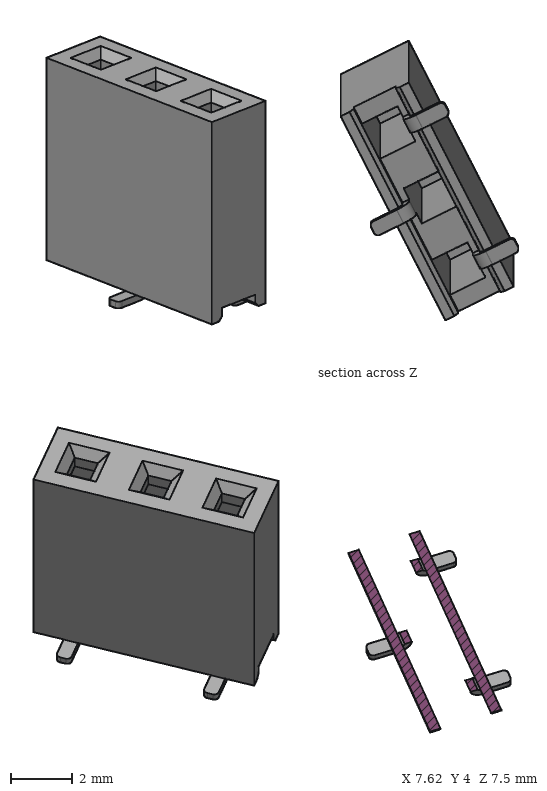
import cadquery as cq

length = 7.62
depth = 2.5
total_height = 7.5
standoff = 0.3
housing_height = total_height - standoff

channel_width = 1.54
channel_depth = 0.45
channel_edge_chamfer = 0.15

contact_count = 3
pitch = length / contact_count
mouth_size = 1.4
hole_size = 0.8
funnel_depth = 0.305

cavity_width = 1.31
cavity_cover = 0.72
cavity_top = total_height - cavity_cover

lead_width = 0.5
lead_thickness = 0.245
lead_span = 4.0
inner_bend_radius = 0.22
outer_bend_radius = inner_bend_radius + lead_thickness
tip_radius = 0.15

contact_positions = [(i - (contact_count - 1) / 2) * pitch for i in range(contact_count)]
channel_top = standoff + channel_depth


def make_housing():
    block = cq.Workplane("XY").workplane(offset=standoff).box(
        length, depth, housing_height, centered=(True, True, False)
    )
    channel = cq.Workplane("XY").workplane(offset=standoff).box(
        length, channel_width, channel_depth, centered=(True, True, False)
    )
    margin = 0.01
    mouth_edges = cq.selectors.BoxSelector(
        (-length, -channel_width / 2 - margin, standoff - margin),
        (length, channel_width / 2 + margin, standoff + margin),
    )
    return block.cut(channel).edges("|X").edges(mouth_edges).chamfer(channel_edge_chamfer)


def make_opening(x):
    """Square through hole with a tapered lead-in at the top."""
    hole = cq.Workplane("XY").center(x, 0).rect(hole_size, hole_size).extrude(total_height)
    funnel = (
        cq.Workplane("XY", origin=(x, 0, total_height))
        .rect(mouth_size, mouth_size)
        .workplane(offset=-funnel_depth)
        .rect(hole_size, hole_size)
        .loft(ruled=True)
    )
    return hole.union(funnel)


def make_cavity(x, side):
    """Contact cavity: level with the lead's inner face on its side, the channel wall on the other."""
    cavity_depth = channel_width - lead_thickness
    return cq.Workplane("XY").box(
        cavity_width, cavity_depth, cavity_top - standoff, centered=(True, True, False)
    ).translate((x, -side * lead_thickness / 2, standoff))


def make_lead(x, side):
    """Lead running down the channel wall and out to the given Y side (+1 or -1)."""
    wall = channel_width / 2
    bend_y = wall + inner_bend_radius
    bend_z = lead_thickness + inner_bend_radius
    tip_y = lead_span / 2
    lead = (
        cq.Workplane("YZ")
        .moveTo(wall, channel_top)
        .lineTo(wall, bend_z)
        .radiusArc((bend_y, lead_thickness), -inner_bend_radius)
        .lineTo(tip_y, lead_thickness)
        .lineTo(tip_y, 0)
        .lineTo(bend_y, 0)
        .radiusArc((wall - lead_thickness, bend_z), outer_bend_radius)
        .lineTo(wall - lead_thickness, channel_top)
        .close()
        .extrude(lead_width / 2, both=True)
        .faces(">Y")
        .edges("|Z")
        .fillet(tip_radius)
    )
    if side < 0:
        lead = lead.mirror("XZ")
    return lead.translate((x, 0, 0))


result = make_housing()
for index, position in enumerate(contact_positions):
    lead_side = 1 if index % 2 == 0 else -1
    result = result.cut(make_opening(position))
    result = result.cut(make_cavity(position, lead_side))
    result = result.union(make_lead(position, lead_side))